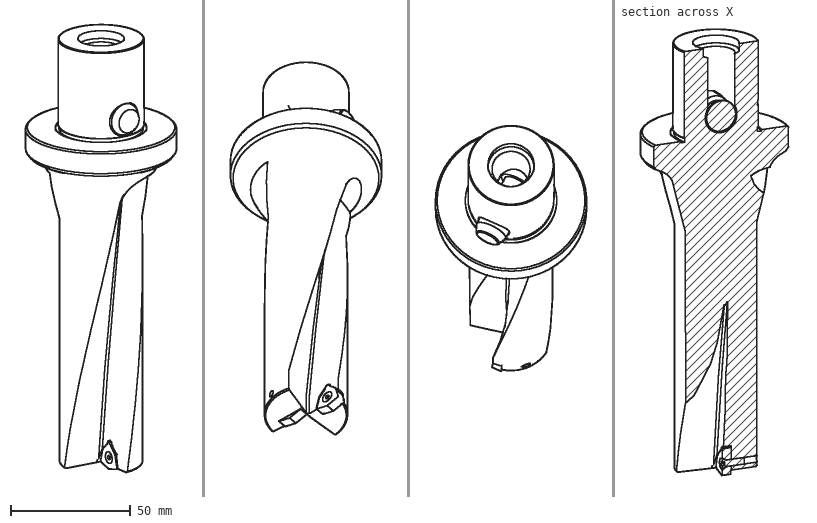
import cadquery as cq
import math

total_length = 190.0
cut_margin = 1.9
flange_radius = 31.7
shank_radius = 18.0
drill_radius = 17.5

flange_top_z = 150.5
flange_bottom_z = 141.0
flange_chamfer = 0.8
neck_radius = 17.7
neck_height = 1.1
neck_groove_radius = 19.2
neck_groove_depth = 0.5
shank_chamfer = 0.4

rim_radius = 30.5
rim_z = 139.5
flare_start = (28.9, 138.5)
flare_middle = (25.3, 136.2)
cone_top_radius = 23.4
cone_top_z = 133.5
cone_bottom_z = 110.2
tip_z = 1.7
tip_chamfer = 0.5

mouth_radius = 9.7
mouth_depth = 3.5
bore_radius = 8.0
bore_cone_height = 1.0
pin_z = 159.0
pin_hole_radius = 7.2
notch_bottom_z = 161.5
notch_top_z = 171.0
notch_depth = 1.1

pin_radius = 6.8
sleeve_end_x = -23.0
sleeve_end_radius = 5.3
sleeve_taper_length = 3.6
sleeve_rim_radius = 4.8
sleeve_rim_height = 0.4
sleeve_inner_chamfer = 1.5
bolt_end_x = 20.5
bolt_end_radius = 5.1
bolt_taper_length = 3.0
bolt_head_x = 4.8
stem_radius = 5.1
stem_depth = 9.5

outer_trailing_angle = 105
outer_leading_angle = 180
outer_corner_radius = 1.9
central_trailing_angle = -88.5
central_leading_angle = 10
central_corner_radius = 1.1
twist_start_z = 12.7
flute_top_z = 133.2
leading_twist = 0.5579
trailing_twist = 0.7368
flute_reach = 45.6
flute_outer_reach = 68.4
flute_stations = 7
runout_radius = 13.3
floor_width = 1.3
corner_twist = 0.2895
corner_growth = 0.075

insert_face_y = 0.4
insert_thickness = 4.2
insert_corner_reach = 7.0
insert_bend_reach = 5.1
insert_corner_radius = 0.5
insert_corner_angles = [90, 210, 330]
insert_half_step = 60
relief_hole_radius = 1.3
relief_hole_rise = 6.0
insert_z = insert_bend_reach
outer_insert_x = -11.8
central_insert_x = 5.1
seat_clearance = 1.9
side_notch_x = -16.5
side_notch_top_z = 6.5
screw_head_radius = 2.5
screw_radius = 1.3
screw_head_height = 1.9
screw_length = 10.5
socket_width = 1.7
socket_depth = 1.1


def polar(radius, degrees):
    angle = math.radians(degrees)
    return (radius * math.cos(angle), radius * math.sin(angle))


def make_blank():
    """Turned outline of the holder, revolved about Z from the -Y side."""
    profile = (
        cq.Workplane("YZ")
        .moveTo(0, tip_z)
        .lineTo(-(drill_radius - tip_chamfer), tip_z)
        .lineTo(-drill_radius, tip_z + tip_chamfer)
        .lineTo(-drill_radius, cone_bottom_z)
        .lineTo(-cone_top_radius, cone_top_z)
        .threePointArc((-flare_middle[0], flare_middle[1]), (-flare_start[0], flare_start[1]))
        .lineTo(-rim_radius, rim_z)
        .lineTo(-flange_radius, flange_bottom_z)
        .lineTo(-flange_radius, flange_top_z - flange_chamfer)
        .lineTo(-(flange_radius - flange_chamfer), flange_top_z)
        .lineTo(-neck_groove_radius, flange_top_z)
        .lineTo(-neck_groove_radius, flange_top_z - neck_groove_depth)
        .lineTo(-neck_radius, flange_top_z - neck_groove_depth)
        .lineTo(-neck_radius, flange_top_z + neck_height)
        .lineTo(-shank_radius, flange_top_z + neck_height)
        .lineTo(-shank_radius, total_length - shank_chamfer)
        .lineTo(-(shank_radius - shank_chamfer), total_length)
        .lineTo(0, total_length)
        .close()
    )
    return profile.revolve(360, (0, 0, 0), (0, 1, 0))


def make_bore():
    """Shank bore with a wider mouth; it ends in the cross hole of the drive pin."""
    cone_z = total_length - mouth_depth
    profile = (
        cq.Workplane("YZ")
        .moveTo(0, pin_z)
        .lineTo(-bore_radius, pin_z)
        .lineTo(-bore_radius, cone_z - bore_cone_height)
        .lineTo(-mouth_radius, cone_z)
        .lineTo(-mouth_radius, total_length)
        .lineTo(0, total_length)
        .close()
    )
    return profile.revolve(360, (0, 0, 0), (0, 1, 0))


def make_pin_hole():
    return (
        cq.Workplane("YZ")
        .center(0, pin_z)
        .circle(pin_hole_radius)
        .extrude(flange_radius, both=True)
    )


def make_shank_notch():
    """Sloping notch in the +Y side of the shank, deepest at its lower end."""
    return (
        cq.Workplane("YZ")
        .polyline([
            (shank_radius - notch_depth, notch_bottom_z),
            (shank_radius + cut_margin, notch_bottom_z),
            (shank_radius + cut_margin, notch_top_z),
            (shank_radius, notch_top_z),
        ])
        .close()
        .extrude(shank_radius, both=True)
    )


def wall_end(corner, rim_angle):
    """Outer end of a flute wall that starts at the corner and crosses the drill surface at an angle."""
    rim = polar(drill_radius, rim_angle)
    length = math.dist(corner, rim)
    return tuple(c + (r - c) * flute_reach / length for c, r in zip(corner, rim))


def flute_section(z, corner_radius, corner_angle, trailing_angle, leading_angle):
    """Flute cross-section: a narrow floor, a wall on each side of it and a point well outside the part."""
    middle_angle = (trailing_angle + leading_angle) / 2
    corner = polar(corner_radius, corner_angle)
    floor = polar(floor_width, middle_angle - 90)
    floor_end = (corner[0] + floor[0], corner[1] + floor[1])
    outline = [
        floor_end,
        wall_end(floor_end, trailing_angle),
        polar(flute_outer_reach, middle_angle),
        wall_end(corner, leading_angle),
        corner,
    ]
    return cq.Wire.makePolygon([cq.Vector(x, y, z) for x, y in outline], close=True)


def make_flute(corner_radius, trailing_start, leading_start, straight_tip):
    """Cutter for one flute: twisted walls, a narrow floor and a rounded upper end."""
    def section(z):
        rise = z - twist_start_z
        if straight_tip:
            rise = max(rise, 0)
        trailing = trailing_start + trailing_twist * rise
        leading = leading_start + leading_twist * rise
        corner_angle = leading_start + corner_twist * rise
        return flute_section(z, corner_radius + corner_growth * rise, corner_angle, trailing, leading)

    bottom_z = twist_start_z if straight_tip else 0
    step = (flute_top_z - bottom_z) / (flute_stations - 1)
    sections = [section(bottom_z + i * step) for i in range(flute_stations)]
    flute = cq.Workplane(cq.Solid.makeLoft(sections))
    floor_end, wall_tip = [vertex.Center() for vertex in sections[-1].Vertices()[:2]]
    edge_middle = (floor_end + wall_tip) / 2
    flute = flute.edges(cq.selectors.NearestToPointSelector(edge_middle.toTuple())).fillet(runout_radius)
    if straight_tip:
        tip = cq.Workplane(cq.Solid.makeLoft([section(0), section(twist_start_z)], True))
        flute = flute.union(tip)
    return flute


def insert_plane(insert_x, facing):
    """Plane on the cutting face of an insert; its normal points into the land behind it."""
    return cq.Plane(
        origin=(insert_x, insert_face_y, insert_z),
        xDir=(facing, 0, 0),
        normal=(0, -facing, 0),
    )


def trigon(insert_x, facing):
    """Three-cornered insert shape with sides that bulge to a blunt bend."""
    points = []
    for angle in insert_corner_angles:
        points.append(polar(insert_corner_reach, angle))
        points.append(polar(insert_bend_reach, angle + insert_half_step))
    shape = (
        cq.Workplane(insert_plane(insert_x, facing))
        .polyline(points)
        .close()
        .extrude(insert_thickness)
    )
    for angle in insert_corner_angles:
        x, z = polar(insert_corner_reach, angle)
        edge_point = (insert_x + facing * x, insert_face_y - facing * insert_thickness / 2, insert_z + z)
        edge = cq.selectors.NearestToPointSelector(edge_point)
        shape = shape.edges(edge).fillet(insert_corner_radius)
    return shape


def screw_body(insert_x, facing):
    """Countersunk screw outline, flush with the cutting face."""
    outline = [
        (0, 0),
        (screw_head_radius, 0),
        (screw_radius, -screw_head_height),
        (screw_radius, -screw_length),
        (0, -screw_length),
    ]
    plane = cq.Plane(
        origin=(insert_x, insert_face_y, insert_z),
        xDir=(1, 0, 0),
        normal=(0, 0, facing),
    )
    return cq.Workplane(plane).polyline(outline).close().revolve(360, (0, 0, 0), (0, 1, 0))


def make_insert(insert_x, facing):
    return trigon(insert_x, facing).cut(screw_body(insert_x, facing))


def make_screw(insert_x, facing):
    socket = (
        cq.Workplane(insert_plane(insert_x, facing))
        .polygon(6, socket_width)
        .extrude(socket_depth)
    )
    return screw_body(insert_x, facing).cut(socket)


def insert_seat(insert_x, facing):
    """Cutter for an insert's open pocket, its top relief hole and its screw hole through the land."""
    plane = insert_plane(insert_x, facing)
    relief = (
        cq.Workplane(plane)
        .center(0, relief_hole_rise)
        .circle(relief_hole_radius)
        .extrude(insert_thickness)
    )
    screw_hole = cq.Workplane(plane).circle(screw_radius).extrude(drill_radius + cut_margin)
    pocket = trigon(insert_x, facing)
    opening = pocket.translate((0, facing * seat_clearance, 0))
    return pocket.union(opening).union(relief).union(screw_hole)


def make_side_notch():
    """Opening beside the outer insert, through the side of the land."""
    width = drill_radius + cut_margin + side_notch_x
    corner = (side_notch_x - width, insert_face_y - insert_thickness, 0)
    return (
        cq.Workplane("XY", origin=corner)
        .box(width, insert_thickness, side_notch_top_z, centered=False)
    )


def make_sleeve():
    """Drive pin sleeve, bored to take the stem of the bolt."""
    taper_x = sleeve_end_x + sleeve_taper_length
    return (
        cq.Workplane("XZ", origin=(0, 0, pin_z))
        .polyline([
            (sleeve_end_x, 0),
            (sleeve_end_x, sleeve_rim_radius),
            (sleeve_end_x + sleeve_rim_height, sleeve_end_radius),
            (taper_x, pin_radius),
            (-sleeve_inner_chamfer, pin_radius),
            (0, pin_radius - sleeve_inner_chamfer),
            (0, stem_radius),
            (-stem_depth, stem_radius),
            (-stem_depth, 0),
        ])
        .close()
        .revolve(360, (0, 0, 0), (1, 0, 0))
    )


def make_bolt():
    """Drive pin bolt: a tapered head and a stem that sits in the sleeve."""
    return (
        cq.Workplane("XZ", origin=(0, 0, pin_z))
        .polyline([
            (-stem_depth, 0),
            (-stem_depth, stem_radius),
            (bolt_head_x, stem_radius),
            (bolt_head_x, pin_radius),
            (bolt_end_x - bolt_taper_length, pin_radius),
            (bolt_end_x, bolt_end_radius),
            (bolt_end_x, 0),
        ])
        .close()
        .revolve(360, (0, 0, 0), (1, 0, 0))
    )


insert_places = [(outer_insert_x, 1), (central_insert_x, -1)]
inserts = [make_insert(x, facing) for x, facing in insert_places]
screws = [make_screw(x, facing) for x, facing in insert_places]

outer_flute = make_flute(
    outer_corner_radius, outer_trailing_angle, outer_leading_angle, straight_tip=True
)
central_flute = make_flute(
    central_corner_radius, central_trailing_angle, central_leading_angle, straight_tip=False
)
holder = make_blank().cut(outer_flute).cut(central_flute)
holder = holder.cut(make_bore()).cut(make_pin_hole()).cut(make_shank_notch()).cut(make_side_notch())
for x, facing in insert_places:
    holder = holder.cut(insert_seat(x, facing))

sleeve = make_sleeve()
bolt = make_bolt()

result = cq.Compound.makeCompound([
    holder.val(),
    *[insert.val() for insert in inserts],
    *[screw.val() for screw in screws],
    sleeve.val(),
    bolt.val(),
])